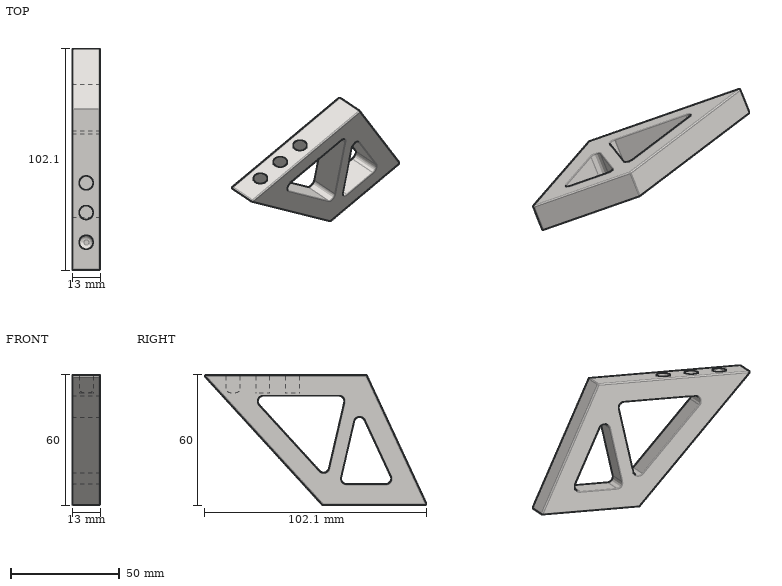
import cadquery as cq
import math

thickness = 13.0
height = 60.0
top_length = 74.5
bottom_start = 54.1
overall_length = 102.1
edge_radius = 0.6

frame_width = 9.7
strut_width = 6.5
strut_top_y = 70.4
strut_bottom_y = 56.6
corner_diameter = 5.0
rim_radius = 0.3

hole_diameter = 6.4
hole_depth = 8.2
first_hole_y = 12.9
hole_spacing = 13.7
hole_count = 3
floor_fillet = 2.0


def offset_line(start, end, distance):
    """Return the line from start to end, moved to its left by distance."""
    dy = end[0] - start[0]
    dz = end[1] - start[1]
    length = math.hypot(dy, dz)
    shift_y = -dz / length * distance
    shift_z = dy / length * distance
    return (start[0] + shift_y, start[1] + shift_z), (end[0] + shift_y, end[1] + shift_z)


def y_on_line(line, z):
    (y1, z1), (y2, z2) = line
    return y1 + (y2 - y1) * (z - z1) / (z2 - z1)


def crossing(line_a, line_b):
    """Point where two sloping lines meet."""
    gap_bottom = y_on_line(line_a, 0) - y_on_line(line_b, 0)
    gap_top = y_on_line(line_a, height) - y_on_line(line_b, height)
    z = height * gap_bottom / (gap_bottom - gap_top)
    return y_on_line(line_a, z), z


def tip_loss(angle):
    """Length along Y that edge rounding takes off a tip of the given angle."""
    return edge_radius / math.tan(angle / 2) - edge_radius


def extrude_outline(points):
    return cq.Workplane("YZ").polyline(points).close().extrude(thickness / 2, both=True)


def window(points):
    """Triangular cutter with rounded corners."""
    return extrude_outline(points).edges("|X").fillet(corner_diameter / 2)


def blind_hole(y):
    return (
        cq.Workplane("XY", origin=(0, y, height - hole_depth))
        .circle(hole_diameter / 2)
        .extrude(hole_depth)
    )


front_lean = math.atan2(bottom_start, height)
back_lean = math.atan2(overall_length - top_length, height)
sharp_front = -tip_loss(math.pi / 2 - front_lean)
sharp_back = overall_length + tip_loss(math.pi / 2 - back_lean)
bottom_front = (bottom_start, 0)
bottom_back = (sharp_back, 0)
top_back = (top_length, height)
top_front = (sharp_front, height)
body = extrude_outline([bottom_front, bottom_back, top_back, top_front])
body = body.edges().fillet(edge_radius)

front_line = offset_line(top_front, bottom_front, frame_width)
back_line = offset_line(bottom_back, top_back, frame_width)
strut_bottom = (strut_bottom_y, 0)
strut_top = (strut_top_y, height)
strut_front = offset_line(strut_bottom, strut_top, strut_width / 2)
strut_back = offset_line(strut_bottom, strut_top, -strut_width / 2)
window_top = height - frame_width
window_bottom = frame_width

upper_window = window([
    (y_on_line(front_line, window_top), window_top),
    (y_on_line(strut_front, window_top), window_top),
    crossing(front_line, strut_front),
])
lower_window = window([
    (y_on_line(strut_back, window_bottom), window_bottom),
    (y_on_line(back_line, window_bottom), window_bottom),
    crossing(strut_back, back_line),
])
body = body.cut(upper_window).cut(lower_window)
for side_face in ("<X", ">X"):
    for rim in body.faces(side_face).val().innerWires():
        body = cq.Workplane(body.findSolid().fillet(rim_radius, rim.Edges()))

for index in range(hole_count):
    hole = blind_hole(first_hole_y + index * hole_spacing)
    if index == 0:
        hole = hole.faces("<Z").edges().fillet(floor_fillet)
    body = body.cut(hole)

result = body